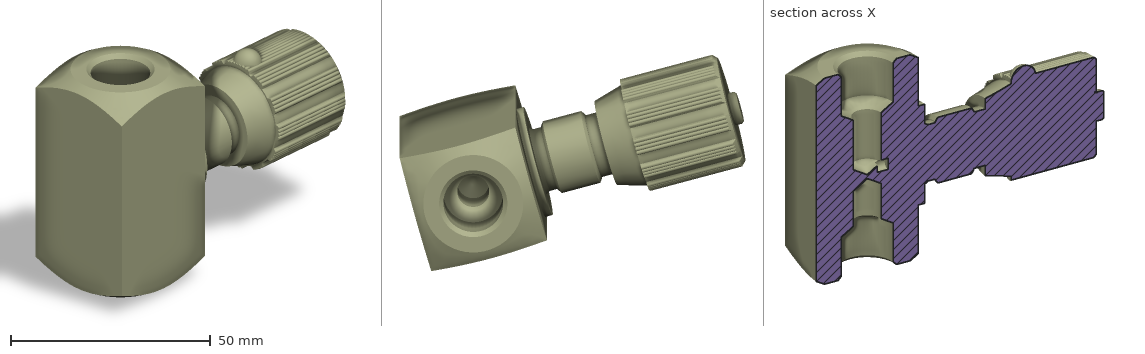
import cadquery as cq
import math


body_width = 30.0
body_length = 58.0
end_face_diameter = 25.0
end_bevel_angle = 30.0

port_diameter = 14.95
port_mouth_diameter = 17.1
port_depth = 12.0
drill_diameter = 8.0
upper_shoulder_height = 1.0
lower_shoulder_height = 5.0
drill_point_angle = 118.0

passage_diameter = 3.0
passage_start = 3.0
passage_end = 6.0

body_face = body_width / 2
flange_diameter = 28.0
flange_top = body_face + 1.8
neck_diameter = 16.0
flare_diameter = 17.1
flare_height = 1.0
collar_diameter = 18.6
collar_relief_diameter = 16.5
collar_bottom = 19.8
collar_top = 31.2
collar_chamfer = 0.75

knob_cone_bottom = 34.4
knob_bottom = 42.0
knob_top = 66.9
cone_small_diameter = 21.8
cone_large_diameter = 26.2
knob_floor_radius = 13.55
tooth_root_radius = 14.1
tooth_tip_radius = 14.55
tooth_pitch = 4.1
group_count = 12
group_teeth = 4
index_group_teeth = 8
flank_spread = 1.2
knob_chamfer = 1.1

cap_diameter = 8.25
cap_top = body_face + 54.2
cap_chamfer = 0.5
cap_base_chamfer = 0.25
dome_radius = 3.6
dome_position = 45.65
dome_center_height = 13.55


def turned(points):
    """Revolve a closed (radius, y) outline about the Y axis."""
    return cq.Workplane("XY").polyline(points).close().revolve(360, (0, 0, 0), (0, 1, 0))


def turned_about_z(points):
    """Revolve a closed (radius, z) outline about the Z axis."""
    return cq.Workplane("XZ").polyline(points).close().revolve(360, (0, 0, 0), (0, 1, 0))


def make_body():
    block = cq.Workplane("XY").box(body_width, body_width, body_length)
    half = body_length / 2
    face_radius = end_face_diameter / 2
    outer_radius = body_width
    drop = (outer_radius - face_radius) * math.tan(math.radians(end_bevel_angle))
    envelope = turned_about_z([
        (0, -half),
        (face_radius, -half),
        (outer_radius, -half + drop),
        (outer_radius, half - drop),
        (face_radius, half),
        (0, half),
    ])
    return block.intersect(envelope)


def make_port(shoulder_height):
    """Cutter for the port in the +Z end; its drill point starts at shoulder_height."""
    top = body_length / 2
    mouth_radius = port_mouth_diameter / 2
    port_radius = port_diameter / 2
    drill_radius = drill_diameter / 2
    slope = 1 / math.tan(math.radians(drill_point_angle / 2))
    floor_height = top - port_depth
    return turned_about_z([
        (0, top),
        (mouth_radius, top),
        (port_radius, top - (mouth_radius - port_radius)),
        (port_radius, floor_height),
        (drill_radius, floor_height - (port_radius - drill_radius) * slope),
        (drill_radius, shoulder_height),
        (0, shoulder_height - drill_radius * slope),
    ])


def make_passage():
    radius = passage_diameter / 2
    return turned([(0, passage_start), (radius, passage_start), (radius, passage_end), (0, passage_end)])


def make_neck():
    flange_radius = flange_diameter / 2
    neck_radius = neck_diameter / 2
    flare_radius = flare_diameter / 2
    collar_radius = collar_diameter / 2
    relief_radius = collar_relief_diameter / 2
    return turned([
        (0, body_face),
        (flange_radius, body_face),
        (flange_radius, flange_top),
        (flare_radius, flange_top),
        (neck_radius, flange_top + flare_height),
        (neck_radius, collar_bottom),
        (relief_radius, collar_bottom),
        (collar_radius, collar_bottom + collar_chamfer),
        (collar_radius, collar_top - collar_chamfer),
        (relief_radius, collar_top),
        (neck_radius, collar_top),
        (neck_radius, knob_cone_bottom),
        (0, knob_cone_bottom),
    ])


def polar(radius, degrees):
    angle = math.radians(degrees)
    return (radius * math.cos(angle), radius * math.sin(angle))


def make_knurled_grip():
    """Grip with groups of round teeth; angles run from +Z towards +X."""
    plane = cq.Plane(origin=(0, knob_bottom, 0), xDir=(0, 0, 1), normal=(0, 1, 0))
    group_pitch = 360 / group_count
    index_edge = index_group_teeth * tooth_pitch / 2 + flank_spread
    outline = cq.Workplane(plane).moveTo(*polar(knob_floor_radius, -index_edge))
    for group in range(group_count):
        teeth = index_group_teeth if group == 0 else group_teeth
        next_teeth = index_group_teeth if group == group_count - 1 else group_teeth
        center = group * group_pitch
        first_root = center - teeth * tooth_pitch / 2
        last_root = center + teeth * tooth_pitch / 2
        outline = outline.lineTo(*polar(tooth_root_radius, first_root))
        for tooth in range(teeth):
            root = first_root + tooth * tooth_pitch
            tip = polar(tooth_tip_radius, root + tooth_pitch / 2)
            outline = outline.threePointArc(tip, polar(tooth_root_radius, root + tooth_pitch))
        strip_start = last_root + flank_spread
        strip_end = center + group_pitch - next_teeth * tooth_pitch / 2 - flank_spread
        strip_middle = (strip_start + strip_end) / 2
        outline = outline.lineTo(*polar(knob_floor_radius, strip_start))
        outline = outline.threePointArc(
            polar(knob_floor_radius, strip_middle), polar(knob_floor_radius, strip_end)
        )
    grip = outline.close().extrude(knob_top - knob_bottom)
    rim_cutter = turned([
        (tooth_tip_radius - knob_chamfer, knob_top),
        (tooth_tip_radius + knob_chamfer, knob_top),
        (tooth_tip_radius + knob_chamfer, knob_top - 2 * knob_chamfer),
    ])
    return grip.cut(rim_cutter)


def make_knob_cone_and_cap():
    cone = turned([
        (0, knob_cone_bottom),
        (cone_small_diameter / 2, knob_cone_bottom),
        (cone_large_diameter / 2, knob_bottom),
        (0, knob_bottom),
    ])
    cap_radius = cap_diameter / 2
    cap = turned([
        (0, knob_top),
        (cap_radius - cap_base_chamfer, knob_top),
        (cap_radius, knob_top + cap_base_chamfer),
        (cap_radius, cap_top - cap_chamfer),
        (cap_radius - cap_chamfer, cap_top),
        (0, cap_top),
    ])
    return cone, cap


def make_index_dome():
    return cq.Workplane("XY").sphere(dome_radius).translate((0, dome_position, dome_center_height))


upper_port = make_port(upper_shoulder_height)
lower_port = make_port(lower_shoulder_height).mirror("XY")
body = make_body().cut(upper_port).cut(lower_port).cut(make_passage())
knob_cone, knob_cap = make_knob_cone_and_cap()
knob = make_knurled_grip().union(make_index_dome()).union(knob_cone).union(knob_cap)
result = body.union(make_neck()).union(knob)